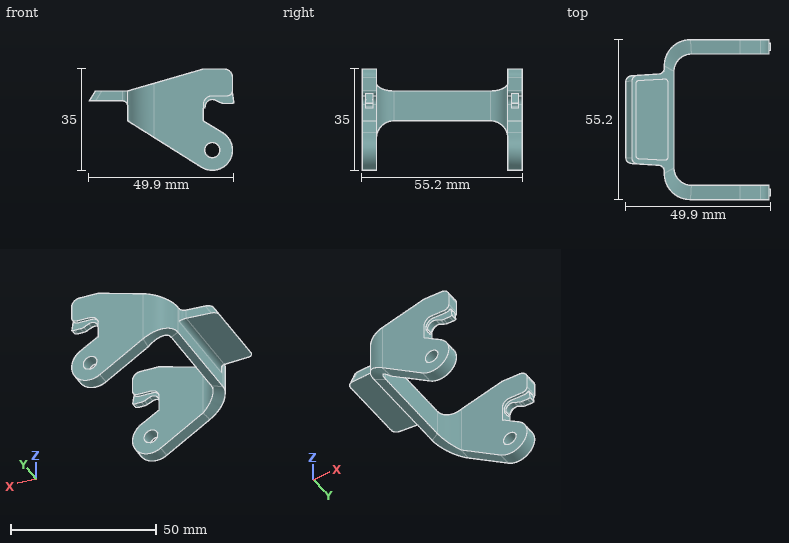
import cadquery as cq
import math


overall_width = 55.2
arm_thickness = 5.0
bridge_thickness = 3.4
bridge_top = 20.4
bridge_bottom = 10.05
outer_bend_radius = 9.05
inner_bend_radius = 5.95

pivot_x = 29.15
pivot_hole_diameter = 5.15
lug_radius = 7.0
jaw_front_x = pivot_x + lug_radius
jaw_top = 28.0
jaw_slope_end_x = 26.05
jaw_bottom = 18.7
jaw_top_radius = 3.0
jaw_bottom_radius = 1.9
notch_x = 26.1
notch_radius = 3.0
notch_corner_z = bridge_bottom

hook_thickness = 2.55
hook_groove_radius = 2.45
hook_groove_z = 14.95
hook_foot_z = 14.45
hook_ramp_angle = 25.0
hook_ramp_radius = 2.75
hook_bottom = 16.0
hook_flat_end_x = 35.6
hook_tip = (36.65, 16.3)
hook_heel = (36.15, 19.55)

plate_length = 13.25
plate_lean = 2.15
plate_thickness = 3.5
plate_root_half_width = 15.9
plate_tip_half_width = 15.2
plate_corner_radius = 2.0
root_fillet_radius = 1.9

recess_outer_x = -9.7
recess_inner_x = 1.25
recess_outer_half_width = 13.4
recess_inner_half_width = 14.0
recess_corner_radius = 1.0
recess_depth = 0.5

half_width = overall_width / 2
arm_inner_y = half_width - arm_thickness
outer_bend_y = half_width - outer_bend_radius
inner_bend_y = arm_inner_y - inner_bend_radius
inner_bend_x = bridge_thickness + inner_bend_radius
plate_bottom = bridge_top - plate_thickness


def lug_tangent(x, z, side):
    """Point where a line from (x, z) touches the lug circle; side picks one of the two tangents."""
    direction = math.atan2(z, x - pivot_x)
    swing = math.acos(lug_radius / math.hypot(x - pivot_x, z))
    angle = direction + side * swing
    return (pivot_x + lug_radius * math.cos(angle), lug_radius * math.sin(angle))


lower_tangent = lug_tangent(0, bridge_bottom, 1)
upper_tangent = lug_tangent(notch_x, notch_corner_z, -1)


def upper_edge(x):
    """Height of the sloping upper arm edge."""
    return bridge_top + x * (jaw_top - bridge_top) / jaw_slope_end_x


def lower_edge(x):
    """Height of the sloping lower arm edge."""
    return bridge_bottom + x * (lower_tangent[1] - bridge_bottom) / lower_tangent[0]


def make_bridge():
    return (
        cq.Workplane("XY", origin=(0, 0, bridge_bottom))
        .polyline([
            (0, -outer_bend_y),
            (bridge_thickness, -inner_bend_y),
            (bridge_thickness, inner_bend_y),
            (0, outer_bend_y),
        ])
        .close()
        .extrude(bridge_top - bridge_bottom)
    )


def bend_edge(center_x, center_y, radius, bridge_z, arm_z):
    """Quarter ellipse climbing from the bridge to the arm along one cylinder of the bend."""
    rise = (arm_z - bridge_z) / radius
    return cq.Edge.makeEllipse(
        radius * math.hypot(1, rise),
        radius,
        cq.Vector(center_x, center_y, arm_z),
        cq.Vector(-rise, 0, 1),
        cq.Vector(1, 0, rise),
        90,
        180,
    )


def make_bend():
    """Bend on the +Y side; its upper and lower faces are ruled between four quarter ellipses."""
    outer = (outer_bend_radius, outer_bend_y, outer_bend_radius)
    inner = (inner_bend_x, inner_bend_y, inner_bend_radius)
    outer_top = bend_edge(*outer, bridge_top, upper_edge(outer_bend_radius))
    outer_bottom = bend_edge(*outer, bridge_bottom, lower_edge(outer_bend_radius))
    inner_top = bend_edge(*inner, bridge_top, upper_edge(inner_bend_x))
    inner_bottom = bend_edge(*inner, bridge_bottom, lower_edge(inner_bend_x))

    loop = [outer_top, inner_top, inner_bottom, outer_bottom]
    faces = [cq.Face.makeRuledSurface(loop[i - 1], loop[i]) for i in range(len(loop))]
    for end in (cq.Edge.startPoint, cq.Edge.endPoint):
        corners = [end(edge) for edge in loop]
        faces.append(cq.Face.makeFromWires(cq.Wire.makePolygon(corners, close=True)))
    return cq.Workplane(cq.Solid.makeSolid(cq.Shell.makeShell(faces)))


def make_arm():
    """Arm on the +Y side, starting at the skewed end face of the bend."""
    profile = (
        cq.Workplane("XZ", origin=(0, half_width, 0))
        .moveTo(0, bridge_top)
        .lineTo(jaw_slope_end_x, jaw_top)
        .lineTo(jaw_front_x - jaw_top_radius, jaw_top)
        .tangentArcPoint((jaw_front_x, jaw_top - jaw_top_radius), relative=False)
        .lineTo(jaw_front_x, jaw_bottom + jaw_bottom_radius)
        .tangentArcPoint((jaw_front_x - jaw_bottom_radius, jaw_bottom), relative=False)
        .lineTo(notch_x + notch_radius, jaw_bottom)
        .tangentArcPoint((notch_x, jaw_bottom - notch_radius), relative=False)
        .lineTo(notch_x, notch_corner_z)
        .lineTo(*upper_tangent)
        .threePointArc((pivot_x + lug_radius, 0), lower_tangent)
        .lineTo(0, bridge_bottom)
        .close()
        .extrude(arm_thickness)
    )
    footprint = (
        cq.Workplane("XY", origin=(0, 0, -lug_radius))
        .polyline([
            (outer_bend_radius, half_width),
            (inner_bend_x, arm_inner_y),
            (jaw_front_x, arm_inner_y),
            (jaw_front_x, half_width),
        ])
        .close()
        .extrude(jaw_top + lug_radius)
    )
    pivot_hole = (
        cq.Workplane("XZ", origin=(pivot_x, half_width, 0))
        .circle(pivot_hole_diameter / 2)
        .extrude(arm_thickness)
    )
    return profile.intersect(footprint).cut(pivot_hole)


def make_hook():
    """Thin rib in the middle of the +Y arm: a round groove, a ramp and a flat running to the tip."""
    ramp = math.radians(hook_ramp_angle)
    groove_left = pivot_x - hook_groove_radius
    ramp_start_x = pivot_x + hook_groove_radius * math.sin(ramp)
    ramp_start_z = hook_groove_z + hook_groove_radius * math.cos(ramp)
    ramp_foot_x = ramp_start_x + (ramp_start_z - hook_bottom) / math.tan(ramp)
    blend = hook_ramp_radius * math.tan(ramp / 2)
    blend_start = (ramp_foot_x - blend * math.cos(ramp), hook_bottom + blend * math.sin(ramp))
    root_x = notch_x - notch_radius
    return (
        cq.Workplane("XZ", origin=(0, half_width - (arm_thickness - hook_thickness) / 2, 0))
        .moveTo(root_x, hook_foot_z)
        .lineTo(groove_left, hook_foot_z)
        .lineTo(groove_left, hook_groove_z)
        .tangentArcPoint((ramp_start_x, ramp_start_z), relative=False)
        .lineTo(*blend_start)
        .tangentArcPoint((ramp_foot_x + blend, hook_bottom), relative=False)
        .lineTo(hook_flat_end_x, hook_bottom)
        .tangentArcPoint(hook_tip, relative=False)
        .lineTo(*hook_heel)
        .lineTo(root_x, hook_heel[1])
        .close()
        .extrude(hook_thickness)
    )


def make_plate():
    """Tapered finger plate with a leaning outer face, blended into the bridge by concave fillets."""
    side_profile = (
        cq.Workplane("XZ", origin=(0, half_width, 0))
        .moveTo(bridge_thickness, bridge_top)
        .lineTo(plate_lean - plate_length, bridge_top)
        .lineTo(-plate_length, plate_bottom)
        .lineTo(-root_fillet_radius, plate_bottom)
        .tangentArcPoint((0, plate_bottom - root_fillet_radius), relative=False)
        .lineTo(bridge_thickness, plate_bottom - root_fillet_radius)
        .close()
        .extrude(overall_width)
    )
    top_edge_x = plate_lean - plate_length
    taper = (plate_root_half_width - plate_tip_half_width) / -top_edge_x
    outer_half_width = plate_root_half_width - taper * plate_length
    reach = bridge_thickness / 2
    plan = (
        cq.Workplane("XY")
        .polyline([
            (-plate_length, -outer_half_width),
            (0, -plate_root_half_width),
            (0, -outer_bend_y),
            (bridge_thickness, -inner_bend_y),
            (bridge_thickness, inner_bend_y),
            (0, outer_bend_y),
            (0, plate_root_half_width),
            (-plate_length, outer_half_width),
        ])
        .close()
        .extrude(bridge_top)
        .edges(cq.selectors.BoxSelector(
            (-reach, -plate_root_half_width - reach, 0),
            (reach, plate_root_half_width + reach, bridge_top),
        ))
        .edges("|Z")
        .fillet(root_fillet_radius)
    )
    plate = plan.intersect(side_profile)
    return plate.faces("<X").edges("not(|Y)").fillet(plate_corner_radius)


def make_recess():
    return (
        cq.Workplane("XY", origin=(0, 0, bridge_top - recess_depth))
        .polyline([
            (recess_outer_x, -recess_outer_half_width),
            (recess_inner_x, -recess_inner_half_width),
            (recess_inner_x, recess_inner_half_width),
            (recess_outer_x, recess_outer_half_width),
        ])
        .close()
        .extrude(recess_depth)
        .edges("|Z")
        .fillet(recess_corner_radius)
    )


bracket = make_bridge().union(make_plate())
for feature in (make_bend(), make_arm(), make_hook()):
    bracket = bracket.union(feature).union(feature.mirror("XZ"))

result = bracket.cut(make_recess()).clean()